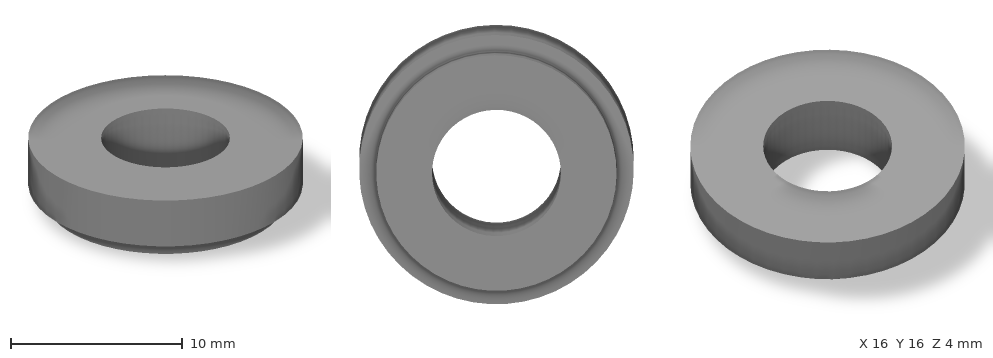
import cadquery as cq

outer_diameter = 16.0
bore_diameter = 7.5
total_height = 4.0

shoulder_diameter = 14.0
flange_height = 0.75 * total_height
shoulder_height = total_height - flange_height
corner_fillet = 0.1

outer_radius = outer_diameter / 2
shoulder_radius = shoulder_diameter / 2
bore_radius = bore_diameter / 2

half_section = (
    cq.Workplane("XZ")
    .moveTo(bore_radius, 0)
    .lineTo(shoulder_radius, 0)
    .lineTo(shoulder_radius, shoulder_height - corner_fillet)
    .radiusArc((shoulder_radius + corner_fillet, shoulder_height), corner_fillet)
    .lineTo(outer_radius, shoulder_height)
    .lineTo(outer_radius, total_height)
    .lineTo(bore_radius, total_height)
    .close()
)

result = half_section.revolve(360, (0, 0, 0), (0, 1, 0))